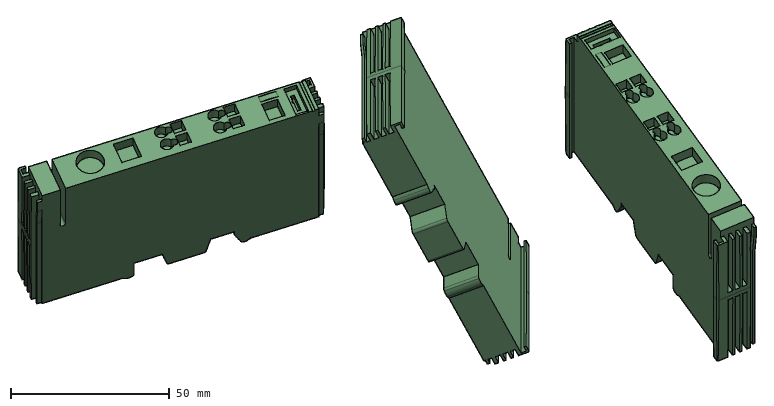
import cadquery as cq

LENGTH = 99.3
BODY_WIDTH = 12.0
BODY_HEIGHT = 59.1
BODY_FRONT = -46.9
BODY_BACK = 46.7

FOOT_DROP = 0.9
RECESS_HEIGHT = 6.3
FRONT_FOOT_TOE, FRONT_FOOT_HEEL = -19.9, -15.8
BACK_FOOT_TOE, BACK_FOOT_HEEL = 23.7, 18.2
BACK_FOOT_FLAT = 4.5
BACK_FOOT_EDGE = 20.3
FRONT_FOOT_START = (-18.7, -0.7)
FRONT_FOOT_LOWEST = (-17.4, -FOOT_DROP)
FRONT_FOOT_CORNER = (-16.3, -0.6)
FRONT_FOOT_BEND = (-15.9, -0.2)
FRONT_FOOT_END = (FRONT_FOOT_HEEL, 0.3)
BACK_FOOT_LOWEST = (21.4, -FOOT_DROP)
BACK_FOOT_CORNER = (22.6, -0.6)
TOOTH_FRONT, TOOTH_BACK = -4.6, 8.4
TOOTH_TAPER = 1.7
TOOTH_RADIUS = 1.0

SLIT_WIDTH = 1.8
SLIT_CENTER = -39.8
SLIT_BOTTOM = 39.0

PLATE_RIGHT = 9.3
PLATE_MID_HEIGHT = 29.7
PLATE_DRAFT = 0.2
FRONT_PLATE_HEIGHT = 56.1
BACK_PLATE_HEIGHT = 55.5
HOOK_REACH = 2.7
HOOK_WALL = 0.9
HOOK_TIP = 47.0
HOOK_CHAMFER = 0.4
HOOK_SIDE_DRAFT = 0.1
GROOVE_COUNT = 3
GROOVE_START = 1.2
GROOVE_PITCH = 2.6
GROOVE_WIDTH = 1.7
GROOVE_WEB = 3.6

TONGUE_END = 48.5
TONGUE_WIDTH = 0.9
TONGUE_SHIFT = 0.5
TONGUE_BEND_TOP = 51.1
TONGUE_BEND_BOTTOM = 44.0

OPENING_DEPTH = 4.0
PIN_X = 2.6
PIN_PITCH = 5.0
SQUARE_SIZE = 3.9
SQUARE_Y = 20.7
KEYHOLE_RADIUS = 2.1
KEYHOLE_Y = 15.0
NECK_RADIUS = 1.2
NECK_Y = 17.4
TERMINAL_ROWS = 2
TERMINAL_COLUMNS = 2
TERMINAL_PITCH = 18.0
LAMP_RADIUS = 4.5
LAMP_X = 5.3
LAMP_Y = -28.0

BACK_WINDOW = (3.9, 10.5, 30.5, 35.8)
FRONT_WINDOW = (1.5, 9.0, -18.8, -12.1)

TAG_POCKET = (0.9, 11.4, 39.1, 43.4)
TAG_SLOT_LEFT, TAG_SLOT_RIGHT = 3.0, 9.0
TAG_SLOT_FRONT, TAG_SLOT_BACK = 40.6, 41.8
TAG_DEPTH = 2.0
NOTCH_X = 5.2
NOTCH_WIDTH = 0.6
NOTCH_DEPTH = 0.3
LINE_GROOVE_FRONT, LINE_GROOVE_BACK = 44.6, 45.5
LINE_GROOVE_DEPTH = 0.3

PAD_RISE = 0.3
PAD_LEFT, PAD_RIGHT = 0.9, 3.0
PAD_FRONT, PAD_BACK = 30.5, 36.4


def box(x0, x1, y0, y1, z0, z1):
    return cq.Workplane("XY").box(x1 - x0, y1 - y0, z1 - z0, centered=False).translate((x0, y0, z0))


def top_pocket(x0, x1, y0, y1, depth=OPENING_DEPTH, top=BODY_HEIGHT):
    return box(x0, x1, y0, y1, top - depth, top)


def top_hole(x, y, radius):
    floor = cq.Workplane("XY", origin=(x, y, BODY_HEIGHT - OPENING_DEPTH))
    return floor.circle(radius).extrude(OPENING_DEPTH)


def body_block():
    block = (
        cq.Workplane("YZ")
        .moveTo(BODY_FRONT, 0)
        .lineTo(FRONT_FOOT_TOE, 0)
        .lineTo(*FRONT_FOOT_START)
        .threePointArc(FRONT_FOOT_LOWEST, FRONT_FOOT_CORNER)
        .threePointArc(FRONT_FOOT_BEND, FRONT_FOOT_END)
        .lineTo(FRONT_FOOT_HEEL, RECESS_HEIGHT)
        .lineTo(TOOTH_FRONT - TOOTH_TAPER, RECESS_HEIGHT)
        .lineTo(TOOTH_FRONT, 0)
        .lineTo(TOOTH_BACK, 0)
        .lineTo(TOOTH_BACK + TOOTH_TAPER, RECESS_HEIGHT)
        .lineTo(BACK_FOOT_HEEL, RECESS_HEIGHT)
        .lineTo(BACK_FOOT_HEEL, BACK_FOOT_FLAT)
        .lineTo(BACK_FOOT_EDGE, 0)
        .threePointArc(BACK_FOOT_LOWEST, BACK_FOOT_CORNER)
        .lineTo(BACK_FOOT_TOE, 0)
        .lineTo(BODY_BACK, 0)
        .lineTo(BODY_BACK, BODY_HEIGHT)
        .lineTo(BODY_FRONT, BODY_HEIGHT)
        .close()
        .extrude(BODY_WIDTH)
    )
    tooth_zone = cq.selectors.BoxSelector(
        (0, TOOTH_FRONT - TOOTH_RADIUS, -FOOT_DROP),
        (BODY_WIDTH, TOOTH_BACK + TOOTH_RADIUS, FOOT_DROP),
    )
    return block.edges("|X").edges(tooth_zone).fillet(TOOTH_RADIUS)


def latch_slit():
    radius = SLIT_WIDTH / 2
    return (
        cq.Workplane("YZ")
        .moveTo(SLIT_CENTER - radius, BODY_HEIGHT)
        .lineTo(SLIT_CENTER - radius, SLIT_BOTTOM + radius)
        .threePointArc((SLIT_CENTER, SLIT_BOTTOM), (SLIT_CENTER + radius, SLIT_BOTTOM + radius))
        .lineTo(SLIT_CENTER + radius, BODY_HEIGHT)
        .close()
        .extrude(BODY_WIDTH)
    )


def end_plate(height, root, hook_chamfer):
    """Plate on the -Y end: root is the distance of the body face from Y = 0."""
    end = LENGTH / 2
    inner = end - HOOK_WALL
    plate = (
        cq.Workplane("XY")
        .polyline([
            (-HOOK_REACH, -HOOK_TIP),
            (-HOOK_REACH, -end),
            (PLATE_RIGHT, -end),
            (PLATE_RIGHT, -root),
            (0, -root),
            (0, -inner),
            (HOOK_WALL - HOOK_REACH, -inner),
            (HOOK_WALL - HOOK_REACH, -HOOK_TIP),
        ])
        .close()
        .extrude(height)
    )
    end_lean = (
        cq.Workplane("YZ", origin=(-HOOK_REACH, 0, 0))
        .polyline([
            (0, 0),
            (PLATE_DRAFT - end, 0),
            (-end, PLATE_MID_HEIGHT),
            (PLATE_DRAFT - end, height),
            (0, height),
        ])
        .close()
        .extrude(HOOK_REACH + PLATE_RIGHT)
    )
    hook_lean = (
        cq.Workplane("XZ")
        .polyline([
            (PLATE_RIGHT, 0),
            (HOOK_SIDE_DRAFT - HOOK_REACH, 0),
            (-HOOK_REACH, PLATE_MID_HEIGHT),
            (HOOK_SIDE_DRAFT - HOOK_REACH, height),
            (PLATE_RIGHT, height),
        ])
        .close()
        .extrude(end)
    )
    plate = plate.intersect(end_lean).intersect(hook_lean)
    if hook_chamfer:
        corner = PLATE_DRAFT - end
        plate = plate.cut(
            cq.Workplane("XY")
            .polyline([
                (-HOOK_REACH, corner + hook_chamfer),
                (-HOOK_REACH, -end),
                (PLATE_DRAFT + hook_chamfer - HOOK_REACH, -end),
            ])
            .close()
            .extrude(height)
        )
    for index in range(GROOVE_COUNT):
        left = GROOVE_START + index * GROOVE_PITCH
        right = left + GROOVE_WIDTH
        plate = plate.cut(box(left, right, -end, -root, 0, PLATE_MID_HEIGHT - GROOVE_WEB / 2))
        plate = plate.cut(box(left, right, -end, -root, PLATE_MID_HEIGHT + GROOVE_WEB / 2, height))
    return plate


def end_tongue(height, root):
    """Tongue on the -Y end, standing on the body face at distance root."""
    right_low = BODY_WIDTH - TONGUE_SHIFT
    return (
        cq.Workplane("XZ", origin=(0, -root, 0))
        .polyline([
            (BODY_WIDTH - TONGUE_WIDTH, height),
            (BODY_WIDTH, height),
            (BODY_WIDTH, TONGUE_BEND_TOP),
            (right_low, TONGUE_BEND_BOTTOM),
            (right_low, 0),
            (right_low - TONGUE_WIDTH, 0),
            (right_low - TONGUE_WIDTH, TONGUE_BEND_BOTTOM),
            (BODY_WIDTH - TONGUE_WIDTH, TONGUE_BEND_TOP),
        ])
        .close()
        .extrude(TONGUE_END - root)
    )


def terminal(x, shift):
    """Square wire entry with a keyhole-shaped release opening in front of it."""
    half = SQUARE_SIZE / 2
    square = top_pocket(x - half, x + half, SQUARE_Y + shift - half, SQUARE_Y + shift + half)
    keyhole = top_hole(x, KEYHOLE_Y + shift, KEYHOLE_RADIUS).union(top_hole(x, NECK_Y + shift, NECK_RADIUS))
    return square, keyhole


def tag_pocket():
    floor = BODY_HEIGHT - TAG_DEPTH
    notch_left = NOTCH_X - NOTCH_WIDTH / 2
    notch_right = NOTCH_X + NOTCH_WIDTH / 2
    notch_front = TAG_SLOT_FRONT - NOTCH_DEPTH
    pocket = top_pocket(*TAG_POCKET, TAG_DEPTH)
    slot = top_pocket(TAG_SLOT_LEFT, TAG_SLOT_RIGHT, TAG_SLOT_FRONT, TAG_SLOT_BACK, TAG_DEPTH, floor)
    notch = top_pocket(notch_left, notch_right, notch_front, TAG_SLOT_FRONT, TAG_DEPTH, floor)
    return pocket.union(slot).union(notch)


def thumb_pad():
    middle = (PAD_FRONT + PAD_BACK) / 2
    return (
        cq.Workplane("YZ", origin=(PAD_LEFT, 0, 0))
        .moveTo(PAD_FRONT, BODY_HEIGHT)
        .threePointArc((middle, BODY_HEIGHT + PAD_RISE), (PAD_BACK, BODY_HEIGHT))
        .close()
        .extrude(PAD_RIGHT - PAD_LEFT)
    )


result = body_block().cut(latch_slit())

result = result.union(end_plate(FRONT_PLATE_HEIGHT, -BODY_FRONT, HOOK_CHAMFER))
result = result.union(end_tongue(FRONT_PLATE_HEIGHT, -BODY_FRONT))
result = result.union(end_plate(BACK_PLATE_HEIGHT, BODY_BACK, 0).mirror("XZ"))
result = result.union(end_tongue(BACK_PLATE_HEIGHT, BODY_BACK).mirror("XZ"))

for row in range(TERMINAL_ROWS):
    for column in range(TERMINAL_COLUMNS):
        for opening in terminal(PIN_X + column * PIN_PITCH, -row * TERMINAL_PITCH):
            result = result.cut(opening)

result = result.cut(top_pocket(*BACK_WINDOW))
result = result.cut(top_pocket(*FRONT_WINDOW))
result = result.cut(top_hole(LAMP_X, LAMP_Y, LAMP_RADIUS))
result = result.cut(tag_pocket())
result = result.cut(top_pocket(0, BODY_WIDTH, LINE_GROOVE_FRONT, LINE_GROOVE_BACK, LINE_GROOVE_DEPTH))
result = result.union(thumb_pad())